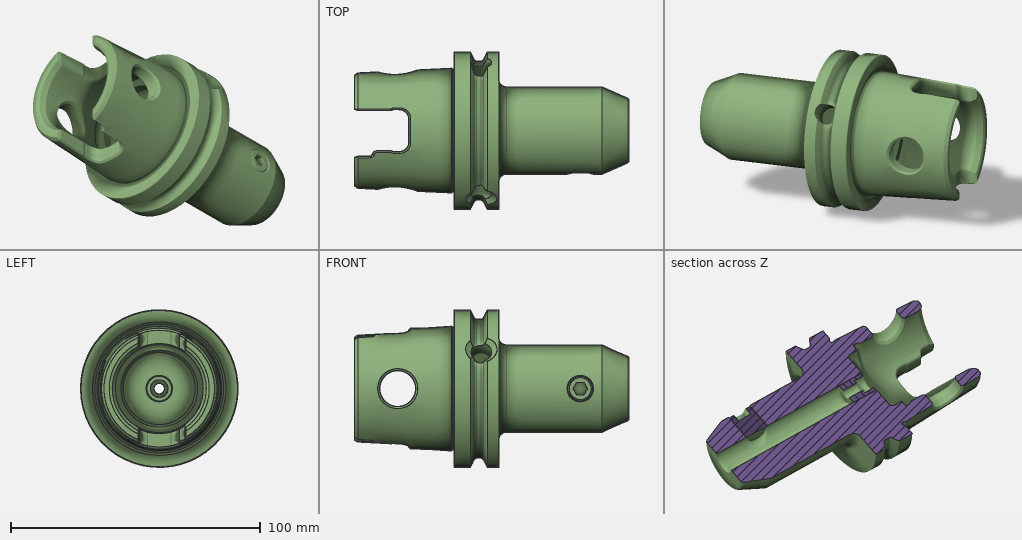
import cadquery as cq
import math

length = 110.0

mouth_radius = 22.1
lead_length = 1.4
taper_start_radius = 23.1
taper_end_x = 38.9
taper_slope = 1 / 20
taper_end_radius = taper_start_radius + taper_slope * (taper_end_x - lead_length)

flange_x = 39.8
flange_end_x = 57.8
flange_diameter = 63.0
flange_radius = flange_diameter / 2
flange_bevel = 0.2
neck_x = 39.3
neck_radius = 24.6
recess_outer_radius = 26.7
recess_inner_radius = 25.7
recess_depth = 0.7

groove_x = 49.8
groove_half_width = 3.4
groove_floor_half_width = 1.5
groove_floor_radius = 27.8
groove_fillet = 1.1

body_radius = 17.5
body_fillet = 3.0
cone_x = 99.1
nose_radius = 12.6
nose_fillet = 1.3

hollow_face_radius = 20.0
hollow_lip_radius = 18.8
hollow_lip_depth = 0.4
hollow_radius = 17.6
hollow_lead_depth = 2.7
undercut_x = 30.8
undercut_radius = 18.5
hollow_depth = 34.1
pocket_radius = 15.4
pocket_floor_radius = 14.4
pocket_floor_x = 39.0
pocket_bevel = pocket_radius - pocket_floor_radius

slot_half_width = 8.0
slot_mouth_widening = 0.5
slot_mouth_length = 1.4
slot_wide_half_width = 10.2
slot_wide_end_x = 5.8
slot_narrow_x = 9.0
slot_relief_x = 14.7
slot_relief_blend = 1.0
slot_end_half_width = 8.4
slot_end_x = 21.8
slot_corner = 3.7
slot_outer_bevel = 0.8
slot_inner_bevel = 0.4

cross_hole_x = 17.4
cross_hole_radius = 7.1
cross_hole_bevel = 0.9

rim_margin = 0.2
overcut = 1.1

notch_x = 50.8
notch_radius = 4.1
notch_elevation = 30.0
notch_floor_radius = 21.5
notch_sink_radius = 6.3

bore_radius = 5.0
bore_bevel = 0.3
stop_x = pocket_floor_x + bore_bevel
stop_length = 11.0
stop_socket_radius = 3.5
stop_socket_depth = 4.4
stop_passage_radius = 2.1

clamp_x = 90.4
clamp_face_y = -17.0
clamp_tip_y = -5.0
clamp_bevel = 0.5
clamp_hole_bevel = 0.3
hex_across_flats = 5.1
hex_depth = 3.3


def turned_outside():
    """Solid of revolution with the whole outer outline."""
    outline = (
        cq.Workplane("XY")
        .moveTo(0, 0)
        .lineTo(0, mouth_radius)
        .lineTo(lead_length, taper_start_radius)
        .lineTo(taper_end_x, taper_end_radius)
        .lineTo(neck_x, neck_radius)
        .lineTo(flange_x + recess_depth, neck_radius)
        .lineTo(flange_x + recess_depth, recess_inner_radius)
        .lineTo(flange_x, recess_outer_radius)
        .lineTo(flange_x, flange_radius - flange_bevel)
        .lineTo(flange_x + flange_bevel, flange_radius)
        .lineTo(flange_end_x, flange_radius)
        .lineTo(flange_end_x, body_radius + body_fillet)
        .radiusArc((flange_end_x + body_fillet, body_radius), -body_fillet)
        .lineTo(cone_x, body_radius)
        .lineTo(length, nose_radius)
        .lineTo(length, 0)
        .close()
    )
    solid = outline.revolve(360, (0, 0, 0), (1, 0, 0))
    return solid.faces(">X").edges().fillet(nose_fillet)


def gripper_groove():
    """V-shaped ring with a rounded floor, to be cut out of the flange."""
    left_x = groove_x - groove_half_width
    right_x = groove_x + groove_half_width
    profile = (
        cq.Workplane("XY")
        .moveTo(left_x, flange_radius)
        .lineTo(groove_x - groove_floor_half_width, groove_floor_radius)
        .lineTo(groove_x + groove_floor_half_width, groove_floor_radius)
        .lineTo(right_x, flange_radius)
        .lineTo(right_x, flange_radius + overcut)
        .lineTo(left_x, flange_radius + overcut)
        .close()
    )
    ring = profile.revolve(360, (0, 0, 0), (1, 0, 0))
    floor_edges = cq.selectors.RadiusNthSelector(0)
    return ring.edges("%CIRCLE").edges(floor_edges).fillet(groove_fillet)


def shank_hollow():
    """Stepped hollow that opens at the mouth of the shank."""
    return (
        cq.Workplane("XY")
        .moveTo(0, 0)
        .lineTo(0, hollow_face_radius)
        .lineTo(hollow_lip_depth, hollow_lip_radius)
        .lineTo(hollow_lead_depth, hollow_radius)
        .lineTo(undercut_x, hollow_radius)
        .lineTo(undercut_x + 2 * (undercut_radius - hollow_radius), undercut_radius)
        .lineTo(hollow_depth, undercut_radius)
        .lineTo(hollow_depth, pocket_radius)
        .lineTo(pocket_floor_x - pocket_bevel, pocket_radius)
        .lineTo(pocket_floor_x, pocket_floor_radius)
        .lineTo(pocket_floor_x, 0)
        .close()
        .revolve(360, (0, 0, 0), (1, 0, 0))
    )


def drive_slots():
    """Slot through both walls of the shank, wider on its -Y side near the mouth."""
    corner_start_x = slot_end_x - slot_corner
    corner_end_y = slot_end_half_width - slot_corner
    step_x = (slot_wide_end_x + slot_narrow_x) / 2
    step_y = (slot_wide_half_width + slot_half_width) / 2
    run = slot_narrow_x - slot_wide_end_x
    rise = slot_wide_half_width - slot_half_width
    step_radius = (run**2 + rise**2) / (4 * rise)
    return (
        cq.Workplane("XY")
        .moveTo(0, slot_half_width + slot_mouth_widening)
        .lineTo(slot_mouth_length, slot_half_width)
        .lineTo(slot_relief_x, slot_half_width)
        .lineTo(slot_relief_x + slot_relief_blend, slot_end_half_width)
        .lineTo(corner_start_x, slot_end_half_width)
        .radiusArc((slot_end_x, corner_end_y), slot_corner)
        .lineTo(slot_end_x, -corner_end_y)
        .radiusArc((corner_start_x, -slot_end_half_width), slot_corner)
        .lineTo(slot_relief_x + slot_relief_blend, -slot_end_half_width)
        .lineTo(slot_relief_x, -slot_half_width)
        .lineTo(slot_narrow_x, -slot_half_width)
        .radiusArc((step_x, -step_y), -step_radius)
        .radiusArc((slot_wide_end_x, -slot_wide_half_width), step_radius)
        .lineTo(slot_mouth_length, -slot_wide_half_width)
        .lineTo(0, -slot_wide_half_width - slot_mouth_widening)
        .close()
        .extrude(flange_radius, both=True)
    )


def cross_hole():
    """Hole through both walls of the shank, along Y."""
    outline = cq.Workplane("XZ").center(cross_hole_x, 0).circle(cross_hole_radius)
    return outline.extrude(flange_radius, both=True)


def flange_notch(side, countersunk):
    """Radial blind hole in the flange; side is -1 for -Y and 1 for +Y."""
    angle = math.radians(notch_elevation)
    outward = cq.Vector(0, side * math.cos(angle), math.sin(angle))
    axis_point = cq.Vector(notch_x, 0, 0)
    floor = axis_point + outward * notch_floor_radius
    depth = flange_radius - notch_floor_radius
    notch = cq.Solid.makeCylinder(notch_radius, depth + overcut, floor, outward)
    if countersunk:
        sink_depth = notch_sink_radius - notch_radius
        sink_base = axis_point + outward * (flange_radius - sink_depth)
        sink_top_radius = notch_sink_radius + overcut
        sink = cq.Solid.makeCone(notch_radius, sink_top_radius, sink_depth + overcut, sink_base, outward)
        notch = notch.fuse(sink)
    return cq.Workplane(notch)


def tool_bore():
    """Bore from the pocket floor out through the nose, with a bevelled entry."""
    start = cq.Vector(pocket_floor_x, 0, 0)
    along = cq.Vector(1, 0, 0)
    bore = cq.Solid.makeCylinder(bore_radius, length, start, along)
    entry = cq.Solid.makeCone(bore_radius + bore_bevel, bore_radius, bore_bevel, start, along)
    return cq.Workplane(bore.fuse(entry))


def clamp_hole():
    """Hole from the -Y side of the tool end to the turning axis."""
    return cq.Workplane("XZ").center(clamp_x, 0).circle(bore_radius).extrude(body_radius)


def slot_rims(body, low_radius, high_radius):
    """Rim edges of both drive slots whose middles lie between two distances from the turning axis."""
    reach_y = slot_wide_half_width + slot_mouth_widening + rim_margin
    slot_space = cq.selectors.BoxSelector(
        (-rim_margin, -reach_y, -flange_radius),
        (slot_end_x + rim_margin, reach_y, flange_radius),
        boundingbox=True,
    )
    rims = []
    for edge in body.edges(slot_space).vals():
        middle = edge.positionAt(0.5)
        if low_radius < math.hypot(middle.y, middle.z) < high_radius:
            rims.append(edge)
    return rims


def hole_rims(body, hole_x, hole_radius, nearest_y):
    """Rim edges of a hole along Y that lie farther than nearest_y from the turning axis."""
    rims = []
    for edge in body.edges().vals():
        middle = edge.Center()
        at_hole = abs(middle.x - hole_x) < rim_margin and abs(middle.y) > nearest_y
        if at_hole and edge.Length() > hole_radius:
            rims.append(edge)
    return rims


def bevel(body, rims, size):
    return body.newObject(rims).chamfer(size)


def make_holder():
    """Tapered shank, flange and tool end in one piece."""
    body = turned_outside().cut(shank_hollow()).cut(drive_slots())
    outer_rims = slot_rims(body, taper_start_radius, taper_end_radius)
    body = bevel(body, outer_rims, slot_outer_bevel)
    inner_rims = slot_rims(body, hollow_radius - rim_margin, hollow_radius + rim_margin)
    body = bevel(body, inner_rims, slot_inner_bevel)

    body = body.cut(cross_hole())
    cross_rims = hole_rims(body, cross_hole_x, cross_hole_radius, cross_hole_radius)
    body = bevel(body, cross_rims, cross_hole_bevel)

    body = body.cut(clamp_hole())
    clamp_rims = hole_rims(body, clamp_x, bore_radius, bore_radius)
    body = bevel(body, clamp_rims, clamp_hole_bevel)

    body = body.cut(gripper_groove())
    body = body.cut(flange_notch(-1, True)).cut(flange_notch(1, False))
    return body.cut(tool_bore())


def make_stop_screw():
    """Axial screw at the inner end of the tool bore, with a round socket and a passage through it."""
    face = cq.Workplane("YZ", origin=(stop_x, 0, 0))
    screw = face.circle(bore_radius).circle(stop_passage_radius).extrude(stop_length)
    return screw.cut(face.circle(stop_socket_radius).extrude(stop_socket_depth))


def make_clamp_screw():
    """Radial screw from the side of the tool end into the tool bore, with a hexagon socket."""
    face = cq.Workplane("XZ", origin=(clamp_x, clamp_face_y, 0))
    screw = face.circle(bore_radius).extrude(clamp_face_y - clamp_tip_y)
    screw = screw.faces("<Y").chamfer(clamp_bevel)
    hex_diameter = hex_across_flats / math.cos(math.pi / 6)
    return screw.cut(face.polygon(6, hex_diameter).extrude(-hex_depth))


holder = make_holder()
stop_screw = make_stop_screw()
clamp_screw = make_clamp_screw()

result = cq.Compound.makeCompound([holder.val(), stop_screw.val(), clamp_screw.val()])